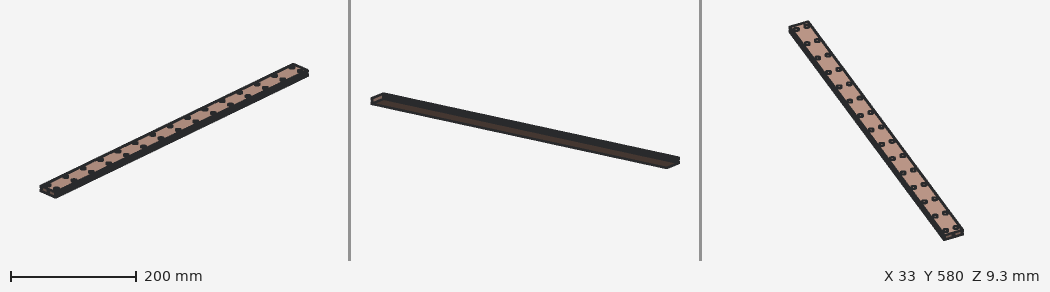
import cadquery as cq

WIDTH = 33.0
LENGTH = 580.0
HEIGHT = 9.3
TOP_CHAMFER = 0.8

GROOVE_DEPTH = 1.65
GROOVE_MOUTH = 5.4
GROOVE_FLOOR = 2.6
GROOVE_CENTER_Z = HEIGHT / 2

HOLE_DIAMETER = 7.5
CAP_RECESS = 0.1
HOLE_PITCH = 40.0
ROW_SPACING = 18.0
HOLE_ROWS = 15

END_HOLE_DIAMETER = 3.0
END_HOLE_DEPTH = 8.0
END_HOLE_Z = HEIGHT / 2


def rail_body():
    """Extrude the grooved cross-section along Y, centered on the origin."""
    half_width = WIDTH / 2
    groove_x = half_width - GROOVE_DEPTH
    right_side = [
        (half_width, 0),
        (half_width, GROOVE_CENTER_Z - GROOVE_MOUTH / 2),
        (groove_x, GROOVE_CENTER_Z - GROOVE_FLOOR / 2),
        (groove_x, GROOVE_CENTER_Z + GROOVE_FLOOR / 2),
        (half_width, GROOVE_CENTER_Z + GROOVE_MOUTH / 2),
        (half_width, HEIGHT - TOP_CHAMFER),
        (half_width - TOP_CHAMFER, HEIGHT),
    ]
    left_side = [(-x, z) for x, z in reversed(right_side)]
    profile = cq.Workplane("XZ").polyline(right_side + left_side).close()
    return profile.extrude(LENGTH / 2, both=True)


def capped_holes():
    """Two rows of shallow recesses left above the caps in the mounting holes."""
    return (
        cq.Workplane("XY", origin=(0, 0, HEIGHT))
        .rarray(ROW_SPACING, HOLE_PITCH, 2, HOLE_ROWS)
        .circle(HOLE_DIAMETER / 2)
        .extrude(-CAP_RECESS)
    )


def end_hole():
    """Blind hole along Y in the middle of the front end face."""
    return (
        cq.Workplane("XZ", origin=(0, -LENGTH / 2, END_HOLE_Z))
        .circle(END_HOLE_DIAMETER / 2)
        .extrude(-END_HOLE_DEPTH)
    )


result = rail_body().cut(capped_holes()).cut(end_hole())